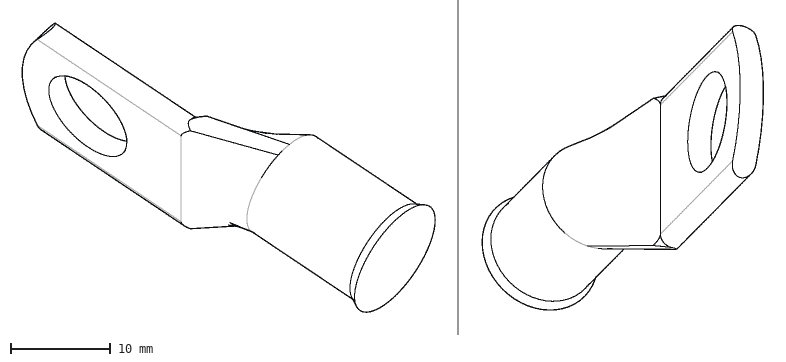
import cadquery as cq
import math

total_length = 43.6
barrel_radius = 5.75
flare_radius = 6.28
flare_length = 1.05
transition_end = 29.05

palm_length = 20.8
palm_width = 16.8
palm_thickness = 2.53
palm_front = -6.1
palm_tip_radius = 13.8
hole_diameter = 10.2
hole_x = 8.6

edge_radius = palm_thickness / 2
strip_half_width = 0.85

half_width = palm_width / 2
flat_half_width = half_width - edge_radius
palm_back = palm_front + palm_thickness
palm_middle = palm_front + edge_radius


def palm_section(x):
    """Flat section with a half-round along each narrow edge."""
    return (
        cq.Workplane("YZ", origin=(x, 0, 0))
        .moveTo(palm_front, -flat_half_width)
        .lineTo(palm_front, flat_half_width)
        .threePointArc((palm_middle, half_width), (palm_back, flat_half_width))
        .lineTo(palm_back, -flat_half_width)
        .threePointArc((palm_middle, -half_width), (palm_front, -flat_half_width))
        .close()
    )


def square_section(x):
    """Rectangle that encloses the palm section."""
    return (
        cq.Workplane("YZ", origin=(x, 0, 0))
        .moveTo(palm_front, -half_width)
        .lineTo(palm_front, half_width)
        .lineTo(palm_back, half_width)
        .lineTo(palm_back, -half_width)
        .close()
    )


def barrel_section(x):
    """Circle divided into four arcs that pair with the square section's edges."""
    strip_z = math.sqrt(barrel_radius**2 - strip_half_width**2)
    return (
        cq.Workplane("YZ", origin=(x, 0, 0))
        .moveTo(-strip_half_width, -strip_z)
        .threePointArc((-barrel_radius, 0), (-strip_half_width, strip_z))
        .threePointArc((0, barrel_radius), (strip_half_width, strip_z))
        .threePointArc((barrel_radius, 0), (strip_half_width, -strip_z))
        .threePointArc((0, -barrel_radius), (-strip_half_width, -strip_z))
        .close()
    )


def make_palm():
    """Palm with a domed tip and a bolt hole through its thickness."""
    palm = palm_section(0).extrude(palm_length)
    tip = (
        cq.Workplane("XZ")
        .center(palm_tip_radius, 0)
        .circle(palm_tip_radius)
        .extrude(total_length, both=True)
    )
    beyond_tip = cq.Workplane("XY").box(
        total_length, total_length, total_length, centered=(False, True, True)
    ).translate((palm_tip_radius, 0, 0))
    palm = palm.intersect(tip.union(beyond_tip))
    hole = (
        cq.Workplane("XZ")
        .center(hole_x, 0)
        .circle(hole_diameter / 2)
        .extrude(total_length, both=True)
    )
    return palm.cut(hole)


def corner_cutter(face_y, side, direction):
    """Waste outside one quarter-round corner of the palm section, swept along a direction."""
    towards_face = math.copysign(1, face_y - palm_middle)
    diagonal = edge_radius * math.sqrt(0.5)
    arc_middle = (palm_middle + towards_face * diagonal, side * (flat_half_width + diagonal))
    outline = (
        cq.Workplane("YZ", origin=(palm_length, 0, 0))
        .moveTo(palm_middle, side * half_width)
        .lineTo(face_y, side * half_width)
        .lineTo(face_y, side * flat_half_width)
        .threePointArc(arc_middle, (palm_middle, side * half_width))
        .wire()
        .val()
    )
    return cq.Workplane(cq.Solid.extrudeLinear(outline, [], direction))


def make_transition():
    """Ruled loft from a rectangle to the barrel circle, with rounds blending into the palm."""
    start = square_section(palm_length).val()
    end = barrel_section(transition_end).val()
    transition = cq.Workplane(cq.Solid.makeLoft([start, end], True))
    run_out = transition_end - palm_length
    along_front = cq.Vector(run_out, 0, 0)
    along_back = cq.Vector(run_out, barrel_radius - palm_back, 0)
    for side in (-1, 1):
        transition = transition.cut(corner_cutter(palm_front, side, along_front))
        transition = transition.cut(corner_cutter(palm_back, side, along_back))
    return transition


def make_barrel():
    """Straight barrel with a flared rim at its far end."""
    flare_start = total_length - flare_length
    return (
        cq.Workplane("XY")
        .moveTo(transition_end, 0)
        .lineTo(transition_end, barrel_radius)
        .lineTo(flare_start, barrel_radius)
        .lineTo(total_length, flare_radius)
        .lineTo(total_length, 0)
        .close()
        .revolve(360, (0, 0, 0), (1, 0, 0))
    )


result = make_palm().union(make_transition()).union(make_barrel())